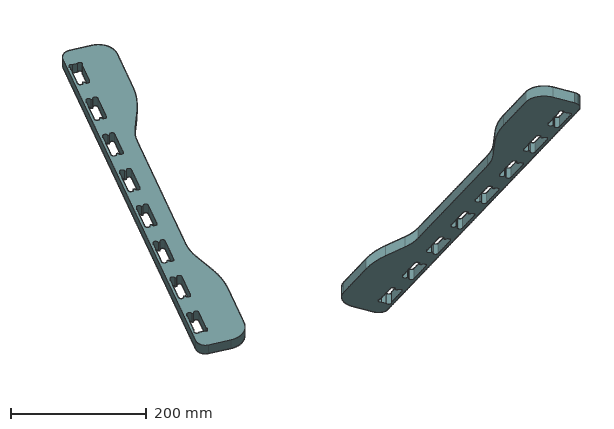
import cadquery as cq
import math

length = 660.0
depth = 80.0
neck_depth = 50.0
thickness = 18.0
front_corner_radius = 15.0
back_corner_radius = 30.0

ramp_top_x = 202.0
ramp_foot_x = 130.0
ramp_top_radius = 120.0
ramp_foot_radius = 80.0

slot_count = 8
slot_pitch = 80.0
slot_length = 40.0
slot_width = 18.5
slot_center_y = 14.0
relief_radius = 4.0


def round_corners(body, x, y, radius):
    """Round the two upright edges that stand at (x, y) and at its mirror image (-x, y)."""
    for corner_x in (-x, x):
        corner_edge = cq.selectors.NearestToPointSelector((corner_x, y, thickness / 2))
        body = body.edges("|Z").edges(corner_edge).fillet(radius)
    return body


def make_board():
    """Board with a shallow neck between two deep ends, mirrored about X = 0."""
    right_half = [
        (0, 0),
        (length / 2, 0),
        (length / 2, depth),
        (ramp_top_x, depth),
        (ramp_foot_x, neck_depth),
        (0, neck_depth),
    ]
    board = cq.Workplane("XY").polyline(right_half).mirrorY().extrude(thickness)
    board = round_corners(board, length / 2, 0, front_corner_radius)
    board = round_corners(board, length / 2, depth, back_corner_radius)
    board = round_corners(board, ramp_top_x, depth, ramp_top_radius)
    board = round_corners(board, ramp_foot_x, neck_depth, ramp_foot_radius)
    return board


def side_reliefs(end_x):
    """Centers of reliefs that bulge along X only, flush with the long slot walls."""
    offset_y = slot_width / 2 - relief_radius
    return [(end_x, slot_center_y + offset_y), (end_x, slot_center_y - offset_y)]


def diagonal_reliefs(end_x, inward):
    """Centers of reliefs set inward along the corner diagonals, passing through the corners."""
    inset = relief_radius / math.sqrt(2)
    offset_y = slot_width / 2 - inset
    x = end_x + inward * inset
    return [(x, slot_center_y + offset_y), (x, slot_center_y - offset_y)]


def make_slot(index):
    """Through slot with relieved corners; the outermost slot ends have diagonal reliefs."""
    center_x = (index - (slot_count - 1) / 2) * slot_pitch
    left_x = center_x - slot_length / 2
    right_x = center_x + slot_length / 2
    is_first = index == 0
    is_last = index == slot_count - 1
    reliefs = diagonal_reliefs(left_x, 1) if is_first else side_reliefs(left_x)
    reliefs += diagonal_reliefs(right_x, -1) if is_last else side_reliefs(right_x)

    slot = cq.Workplane("XY").center(center_x, slot_center_y).rect(slot_length, slot_width).extrude(thickness)
    relief_holes = cq.Workplane("XY").pushPoints(reliefs).circle(relief_radius).extrude(thickness)
    return slot.union(relief_holes)


result = make_board()
for slot_index in range(slot_count):
    result = result.cut(make_slot(slot_index))